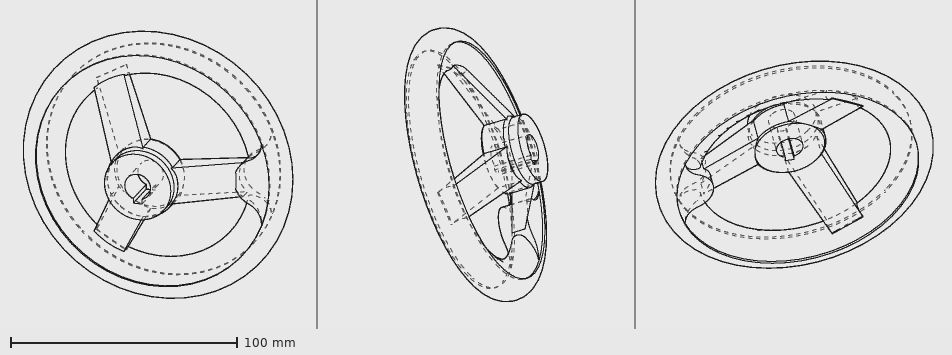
import cadquery as cq
import math

total_depth = 36.0
outer_radius = 62.5

rim_depth = 16.0
rim_front = total_depth - rim_depth
rim_middle = rim_front + rim_depth / 2
rim_shoulder_radius = 54.5
rim_lip_depth = 1.1
rim_web_radius = 46.1
rim_web_half_depth = 3.5
rim_inner_radius = 43.4

hub_face_radius = 15.5
hub_radius = 16.5
hub_face_depth = 4.5
hub_cone_end = 6.6
hub_back = 17.7
hub_back_chamfer = 0.7
bore_radius = 6.0
keyway_width = 4.0
keyway_reach = 7.9

spoke_count = 3
spoke_inner_radius = 11.2
spoke_outer_radius = 46.2
spoke_inner_width = 17.2
spoke_outer_width = 16.0
spoke_inner_front = 3.5
spoke_outer_front = 25.9
spoke_inner_back = 15.6
spoke_outer_back = 32.2
spoke_arch_height = 0.7

boss_offset = 49.0
boss_radius = 11.2
flank_radius = 9.5
flank_center_x = 41.0
boss_front = rim_front + rim_lip_depth
boss_back = total_depth - rim_lip_depth


def y_cylinder(radius, start, end):
    """Cylinder around the wheel axis, between two Y positions."""
    return cq.Workplane("XZ", origin=(0, start, 0)).circle(radius).extrude(start - end)


def make_rim():
    lip_front = rim_front + rim_lip_depth
    lip_back = total_depth - rim_lip_depth
    profile = (
        cq.Workplane("XY")
        .moveTo(rim_shoulder_radius, rim_front)
        .threePointArc((outer_radius, rim_middle), (rim_shoulder_radius, total_depth))
        .lineTo(rim_shoulder_radius, lip_back)
        .lineTo(rim_web_radius, rim_middle + rim_web_half_depth)
        .threePointArc((rim_inner_radius, rim_middle), (rim_web_radius, rim_middle - rim_web_half_depth))
        .lineTo(rim_shoulder_radius, lip_front)
        .close()
    )
    return profile.revolve(360, (0, 0, 0), (0, 1, 0))


def make_hub():
    profile = (
        cq.Workplane("XY")
        .moveTo(0, 0)
        .lineTo(hub_face_radius, 0)
        .lineTo(hub_face_radius, hub_face_depth)
        .lineTo(hub_radius, hub_cone_end)
        .lineTo(hub_radius, hub_back - hub_back_chamfer)
        .lineTo(hub_radius - hub_back_chamfer, hub_back)
        .lineTo(0, hub_back)
        .close()
    )
    return profile.revolve(360, (0, 0, 0), (0, 1, 0))


def spoke_section(radius, width, front, back):
    """Cross-section of the spoke along +X, with its crest at the given front."""
    edge_front = front + spoke_arch_height
    section = (
        cq.Workplane("YZ", origin=(radius, 0, 0))
        .moveTo(edge_front, -width / 2)
        .threePointArc((front, 0), (edge_front, width / 2))
        .lineTo(back, width / 2)
        .lineTo(back, -width / 2)
        .close()
    )
    return section.val()


def make_spoke():
    inner = spoke_section(spoke_inner_radius, spoke_inner_width, spoke_inner_front, spoke_inner_back)
    outer = spoke_section(spoke_outer_radius, spoke_outer_width, spoke_outer_front, spoke_outer_back)
    return cq.Workplane(cq.Solid.makeLoft([inner, outer], True))


def make_boss():
    center_gap = boss_radius + flank_radius
    flank_center_z = math.sqrt(center_gap**2 - (boss_offset - flank_center_x) ** 2)
    blend = (
        cq.Workplane("XZ", origin=(0, boss_front, 0))
        .moveTo(boss_offset, 0)
        .lineTo(flank_center_x, flank_center_z)
        .lineTo(outer_radius, flank_center_z)
        .lineTo(outer_radius, -flank_center_z)
        .lineTo(flank_center_x, -flank_center_z)
        .close()
        .extrude(boss_front - boss_back)
    )
    flanks = (
        cq.Workplane("XZ", origin=(0, boss_front, 0))
        .pushPoints([(flank_center_x, flank_center_z), (flank_center_x, -flank_center_z)])
        .circle(flank_radius)
        .extrude(boss_front - boss_back)
    )
    boss = (
        cq.Workplane("XZ", origin=(boss_offset, boss_front, 0))
        .circle(boss_radius)
        .extrude(boss_front - boss_back)
    )
    shoulder = y_cylinder(rim_shoulder_radius, boss_front, boss_back)
    return blend.cut(flanks).union(boss).intersect(shoulder)


def make_bore():
    keyway = (
        cq.Workplane("XY")
        .box(keyway_width, hub_back, keyway_reach, centered=(True, False, False))
        .translate((0, 0, -keyway_reach))
    )
    return y_cylinder(bore_radius, 0, hub_back).union(keyway)


wheel = make_rim().union(make_hub()).union(make_boss())
spoke = make_spoke()
for index in range(spoke_count):
    angle = index * 360 / spoke_count
    wheel = wheel.union(spoke.rotate((0, 0, 0), (0, 1, 0), angle))

result = wheel.cut(make_bore())